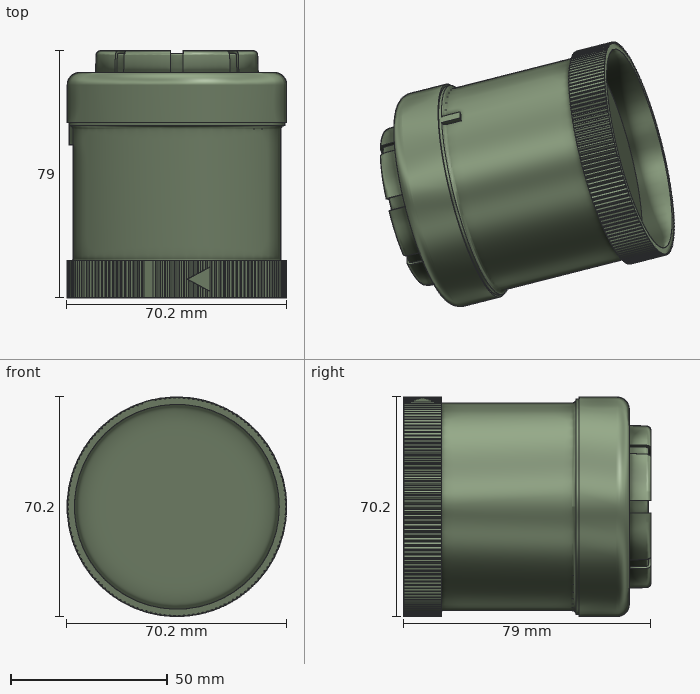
import cadquery as cq
import math

total_length = 79.0
outer_radius = 35.1

rim_length = 12.0
tooth_count = 144
tooth_depth = 0.4
groove_floor_width = 0.2
tooth_pitch = 360 / tooth_count
recess_radius = 32.7
recess_depth = 10.0

strip_angle = -6 * tooth_pitch
strip_width = 3.0
arrow_angle = 11.5
arrow_length = 7.4
arrow_width = 7.8
arrow_y = rim_length / 2

body_radius = 33.2
rim_fillet = 0.3
collar_radius = 34.45
collar_start = 55.1
collar_fillet = collar_radius - body_radius

cap_start = 56.0
cap_end = 72.05
cap_fillet = 4.0

key_start = 48.9
key_width = 2.7
key_z = -3.0

boss_base_radius = 26.1
boss_top_radius = 25.8
boss_fillet = 1.6
shell_thickness = 0.9
slot_count = 8
slot_width = 3.95

ARC_MIDDLE = math.sqrt(0.5)


def cylinder(radius, start, end):
    """Solid cylinder along Y between two positions."""
    return cq.Workplane("XZ", origin=(0, start, 0)).circle(radius).extrude(start - end)


def place_at_angle(shape, angle):
    """Turn a shape from +Z towards +X about the part axis."""
    return shape.rotate((0, 0, 0), (0, 1, 0), angle)


def rim_patch(prism, angle):
    """Cut a prism to the rim ring and turn it to its place."""
    ring = cylinder(outer_radius, 0, rim_length).cut(cylinder(recess_radius, 0, rim_length))
    return place_at_angle(prism.intersect(ring), angle)


def rim_point(radius, angle):
    """X and Z of a point at an angle measured from +Z towards +X."""
    return radius * math.sin(math.radians(angle)), radius * math.cos(math.radians(angle))


def knurled_rim():
    groove_radius = outer_radius - tooth_depth
    half_floor = math.degrees(groove_floor_width / 2 / groove_radius)
    points = []
    for tooth in range(tooth_count):
        tip_angle = tooth * tooth_pitch
        groove_angle = tip_angle + tooth_pitch / 2
        points.append(rim_point(outer_radius, tip_angle))
        points.append(rim_point(groove_radius, groove_angle - half_floor))
        points.append(rim_point(groove_radius, groove_angle + half_floor))
    rim = cq.Workplane("XZ").polyline(points).close().extrude(-rim_length)

    strip = cq.Workplane("XY").rect(strip_width, 2 * rim_length).extrude(2 * outer_radius)
    arrow = (
        cq.Workplane("XY")
        .moveTo(-arrow_length / 2, arrow_y)
        .lineTo(arrow_length / 2, arrow_y + arrow_width / 2)
        .lineTo(arrow_length / 2, arrow_y - arrow_width / 2)
        .close()
        .extrude(2 * outer_radius)
    )
    rim = rim.union(rim_patch(strip, strip_angle)).union(rim_patch(arrow, arrow_angle))
    return rim.cut(cylinder(recess_radius, 0, recess_depth))


def body_and_cap():
    """Turned body with filleted ends, collar and rounded cap."""
    rim_bend = rim_fillet * (1 - ARC_MIDDLE)
    collar_bend = collar_fillet * (1 - ARC_MIDDLE)
    cap_bend = cap_fillet * (1 - ARC_MIDDLE)
    profile = (
        cq.Workplane("XY")
        .moveTo(0, recess_depth)
        .lineTo(body_radius, recess_depth)
        .lineTo(body_radius + rim_fillet, rim_length)
        .threePointArc(
            (body_radius + rim_bend, rim_length + rim_bend),
            (body_radius, rim_length + rim_fillet),
        )
        .lineTo(body_radius, collar_start - collar_fillet)
        .threePointArc(
            (body_radius + collar_bend, collar_start - collar_bend),
            (collar_radius, collar_start),
        )
        .lineTo(collar_radius, cap_start)
        .lineTo(outer_radius, cap_start)
        .lineTo(outer_radius, cap_end - cap_fillet)
        .threePointArc(
            (outer_radius - cap_bend, cap_end - cap_bend),
            (outer_radius - cap_fillet, cap_end),
        )
        .lineTo(0, cap_end)
        .close()
    )
    return profile.revolve(360, (0, 0, 0), (0, 1, 0))


def key():
    block = cq.Workplane("XY").box(
        outer_radius, cap_start - key_start, key_width, centered=(False, False, True)
    )
    block = block.translate((-outer_radius, key_start, key_z))
    return block.intersect(cylinder(collar_radius, key_start, cap_start))


def boss_layer(inset):
    """Tapered round boss, drawn in by the given inset on its side and top."""
    blank = (
        cq.Workplane("XY")
        .moveTo(0, cap_end)
        .lineTo(boss_base_radius - inset, cap_end)
        .lineTo(boss_top_radius - inset, total_length - inset)
        .lineTo(0, total_length - inset)
        .close()
        .revolve(360, (0, 0, 0), (0, 1, 0))
    )
    return blank.faces(">Y").edges().fillet(boss_fillet - inset)


def slotted_boss():
    boss = boss_layer(0)
    slot = cq.Workplane("XY").box(2 * outer_radius, total_length, slot_width)
    slot = slot.translate((0, cap_end + total_length / 2, 0))
    for index in range(slot_count // 2):
        boss = boss.cut(place_at_angle(slot, index * 360 / slot_count))
    return boss.union(boss_layer(shell_thickness))


result = knurled_rim().union(body_and_cap()).union(key()).union(slotted_boss())